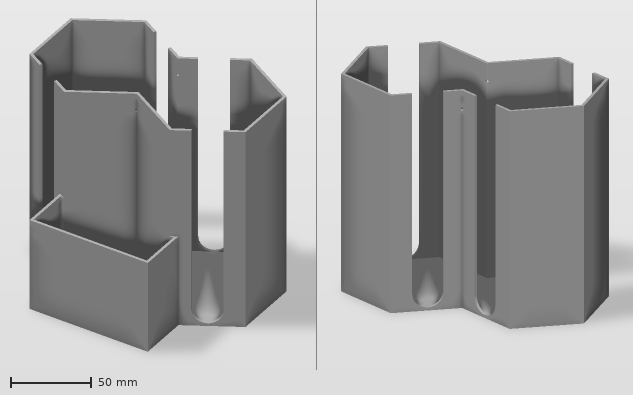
import cadquery as cq
import math

wall = 2.0
floor = 2.0
height = 147.0
overall_x = 160.58
overall_y = 127.22
hex_inner_radius = 45.0
slot_width = 20.0
box_width = 88.0
box_height = 67.0
pin_hole_diameter = 2.0
pin_hole_drop = 12.5

hex_sides = 6
corner_pitch = 2 * math.pi / hex_sides
wall_slope = corner_pitch / 2
hex_outer_radius = hex_inner_radius + wall / math.cos(wall_slope)
hex_outer_flats = 2 * hex_outer_radius * math.cos(wall_slope)
hex_offset = (overall_x - hex_outer_flats) / 2
box_front_y = hex_outer_radius - overall_y
sides = (-1, 1)


def twin_hexagon(radius, base_z, top_z):
    """Two hexagonal prisms side by side along X, each with a corner pointing along +Y and -Y."""
    prism = None
    for side in sides:
        corners = [
            (
                side * hex_offset + radius * math.sin(i * corner_pitch),
                radius * math.cos(i * corner_pitch),
            )
            for i in range(hex_sides)
        ]
        hexagon = (
            cq.Workplane("XY")
            .workplane(offset=base_z)
            .polyline(corners)
            .close()
            .extrude(top_z - base_z)
        )
        prism = hexagon if prism is None else prism.union(hexagon)
    return prism


def bay_passage():
    """Opening that removes the thin web between the two bays, as wide as their flat sides."""
    return (
        cq.Workplane("XY")
        .workplane(offset=floor)
        .rect(2 * hex_offset, hex_inner_radius)
        .extrude(height - floor)
    )


def box_block():
    """Solid block of the front box, reaching back to the hexagon centres."""
    depth = -box_front_y
    return (
        cq.Workplane("XY")
        .center(0, -depth / 2)
        .rect(box_width, depth)
        .extrude(box_height)
    )


def box_pocket():
    """Box cavity: a rectangle up to the front corners, then the notch between them."""
    half_width = box_width / 2 - wall
    notch_y = hex_offset * math.tan(wall_slope) - hex_outer_radius
    outline = [
        (-half_width, box_front_y + wall),
        (half_width, box_front_y + wall),
        (half_width, -hex_outer_radius),
        (hex_offset, -hex_outer_radius),
        (0, notch_y),
        (-hex_offset, -hex_outer_radius),
        (-half_width, -hex_outer_radius),
    ]
    return (
        cq.Workplane("XY")
        .workplane(offset=floor)
        .polyline(outline)
        .close()
        .extrude(box_height - floor)
    )


def finger_slot(side):
    """Round-bottomed slot through two opposite walls of one hexagon, open at the rim."""
    radius = slot_width / 2
    arc_z = floor + radius
    return (
        cq.Workplane("XZ")
        .moveTo(-radius, height)
        .lineTo(-radius, arc_z)
        .threePointArc((0, floor), (radius, arc_z))
        .lineTo(radius, height)
        .close()
        .extrude(hex_outer_radius, both=True)
        .rotate((0, 0, 0), (0, 0, 1), side * math.degrees(wall_slope))
        .translate((side * hex_offset, 0, 0))
    )


def pin_hole():
    """Hole along Y through the front and rear notch corners."""
    return (
        cq.Workplane("XZ")
        .center(0, height - pin_hole_drop)
        .circle(pin_hole_diameter / 2)
        .extrude(hex_outer_radius, both=True)
    )


result = twin_hexagon(hex_outer_radius, 0, height)
result = result.union(box_block())
result = result.cut(twin_hexagon(hex_inner_radius, floor, height))
result = result.cut(bay_passage())
result = result.cut(box_pocket())
for side in sides:
    result = result.cut(finger_slot(side))
result = result.cut(pin_hole())